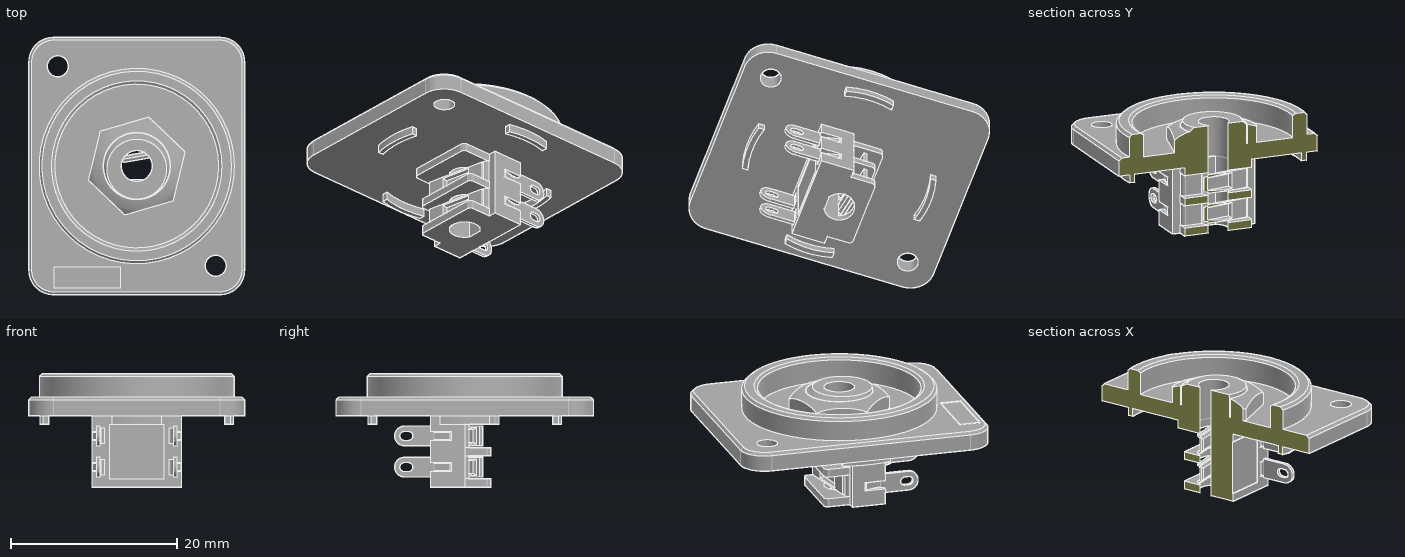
import cadquery as cq
import math

PLATE_X, PLATE_Y, PLATE_T = 26.0, 31.0, 2.3
PLATE_CORNER_R = 3.0
EDGE_CHAMFER = 0.35
SCREW_HOLE_D = 2.5
SCREW_HOLE_X, SCREW_HOLE_Y = 9.5, 12.0

RING_D, RING_H = 23.5, 2.8
DISH_D, DISH_FLOOR_Z = 19.7, 2.1
DISH_CHAMFER_W, DISH_CHAMFER_H = 0.4, 0.25

LABEL_X, LABEL_Y = 8.0, 2.5
LABEL_CENTER = (-5.95, -13.4)
LABEL_DEPTH = 0.1

NUT_FLATS = 10.5
NUT_TURN = 16.3
NUT_CORNER_H, NUT_MIDDLE_H, NUT_TOP_H = 1.43, 2.0, 2.4
NUT_BORE_D = 8.1

BUSHING_D, BUSHING_TIP_D, BUSHING_H = 8.0, 7.2, 2.87
BUSHING_TIP_SHIFT = -0.38
BORE_D = 3.7
BORE_FLAT_Y = -1.6

FOOT_OUTER_R, FOOT_INNER_R = 11.68, 11.0
FOOT_W, FOOT_H = 6.0, 1.0

BODY_X, BODY_FRONT_Y, BODY_H = 10.8, -4.15, 8.6
CORE_REAR_Y = 0.5
CORE_CORNER_R, FLANGE_CORNER_R = 0.45, 0.5
FLANGE_X = 8.8
CORE_INSET = 0.05
CORE_X = FLANGE_X - 2 * CORE_INSET
TOP_FLANGE_REAR_Y, LOWER_FLANGE_REAR_Y = 4.15, 3.15
FLANGES = [
    (-FOOT_H, 0.0, TOP_FLANGE_REAR_Y),
    (-4.8, -3.8, LOWER_FLANGE_REAR_Y),
    (-BODY_H, -7.55, LOWER_FLANGE_REAR_Y),
]

PANEL_X, PANEL_DEPTH = 6.5, 0.1
PANEL_TOP_Z, PANEL_BOTTOM_Z = -1.0, -7.6

CONTACT_Z = (-2.4, -6.15)

TERMINAL_OUTER_X, TERMINAL_T = 4.85, 0.4
TERMINAL_W, TERMINAL_TIP_Y = 2.4, -8.45
EYE_L, EYE_W, EYE_Y = 1.55, 1.05, -7.03
NOTCH_W, NOTCH_INNER_Y = 1.05, -1.6
BARB_W, BARB_START_Y, BARB_END_Y, BARB_TIP_X = 0.85, -3.7, -1.8, 5.3
SLOT_INNER_X, SLOT_H, SLOT_DEPTH = 3.9, 1.85, 1.0
LEFT_SLOT_W = 0.4
RIGHT_SLOT_W = TERMINAL_OUTER_X - TERMINAL_T - SLOT_INNER_X

SPRING_L, SPRING_T, SPRING_W = 8.0, 0.4, 2.4
SPRING_MID_Y, SPRING_TILT = 1.3, 10.0
DIMPLE_L, DIMPLE_W, DIMPLE_DEPTH, DIMPLE_TAPER = 3.8, 2.0, 0.4, 30.0


def box(x0, x1, y0, y1, z0, z1):
    """Axis-aligned box between two corners."""
    return cq.Workplane("XY").box(x1 - x0, y1 - y0, z1 - z0, centered=False).translate((x0, y0, z0))


def disc(diameter, z0, z1):
    """Cylinder about the Z axis."""
    return cq.Workplane("XY").workplane(offset=z0).circle(diameter / 2).extrude(z1 - z0)


def make_plate():
    """Rounded plate with its rim, dish, screw holes and label recess."""
    plate = cq.Workplane("XY").rect(PLATE_X, PLATE_Y).extrude(PLATE_T)
    plate = plate.edges("|Z").fillet(PLATE_CORNER_R).faces(">Z").chamfer(EDGE_CHAMFER)
    rim_top = PLATE_T + RING_H
    rim = disc(RING_D, DISH_FLOOR_Z, rim_top).faces(">Z").chamfer(EDGE_CHAMFER)
    dish = disc(DISH_D, DISH_FLOOR_Z, rim_top)
    mouth = (
        cq.Workplane("XY").workplane(offset=rim_top).circle(DISH_D / 2 + DISH_CHAMFER_W)
        .workplane(offset=-DISH_CHAMFER_H).circle(DISH_D / 2).loft()
    )
    plate = plate.union(rim).cut(dish).cut(mouth)
    holes = (
        cq.Workplane("XY")
        .pushPoints([(-SCREW_HOLE_X, SCREW_HOLE_Y), (SCREW_HOLE_X, -SCREW_HOLE_Y)])
        .circle(SCREW_HOLE_D / 2).extrude(PLATE_T)
    )
    label = (
        cq.Workplane("XY").workplane(offset=PLATE_T - LABEL_DEPTH)
        .center(*LABEL_CENTER).rect(LABEL_X, LABEL_Y).extrude(LABEL_DEPTH)
    )
    return plate.cut(holes).cut(label)


def make_nut():
    """Hexagon nut with a domed top, standing on the dish floor."""
    corner_r = NUT_FLATS / 2 / math.cos(math.radians(30))
    bore_r = NUT_BORE_D / 2
    hexagon = (
        cq.Workplane("XY").polygon(6, 2 * corner_r).extrude(NUT_TOP_H)
        .rotate((0, 0, 0), (0, 0, 1), NUT_TURN)
    )
    dome = (
        cq.Workplane("XZ").moveTo(bore_r, 0).lineTo(corner_r, 0).lineTo(corner_r, NUT_CORNER_H)
        .threePointArc((NUT_FLATS / 2, NUT_MIDDLE_H), (bore_r, NUT_TOP_H))
        .close().revolve(360, (0, 0, 0), (0, 1, 0))
    )
    return hexagon.intersect(dome).translate((0, 0, DISH_FLOOR_Z))


def make_bushing():
    """Round bushing inside the nut, with a lopsided conical lead-in."""
    shoulder_z = DISH_FLOOR_Z + NUT_TOP_H
    shaft = disc(BUSHING_D, DISH_FLOOR_Z, shoulder_z)
    tip = (
        cq.Workplane("XY").workplane(offset=shoulder_z).circle(BUSHING_D / 2)
        .workplane(offset=BUSHING_H - NUT_TOP_H).center(0, BUSHING_TIP_SHIFT)
        .circle(BUSHING_TIP_D / 2).loft()
    )
    return shaft.union(tip)


def make_feet():
    """Four short arcs of a ring under the plate, one on each side."""
    ring = disc(2 * FOOT_OUTER_R, -FOOT_H, 0).cut(disc(2 * FOOT_INNER_R, -FOOT_H, 0))
    half_w = FOOT_W / 2
    cross = box(-FOOT_OUTER_R, FOOT_OUTER_R, -half_w, half_w, -FOOT_H, 0)
    cross = cross.union(box(-half_w, half_w, -FOOT_OUTER_R, FOOT_OUTER_R, -FOOT_H, 0))
    return ring.intersect(cross)


def make_body():
    """Jack body: front block, rounded core and three rear flanges."""
    half_x = BODY_X / 2
    body = box(-half_x, half_x, BODY_FRONT_Y, 0, -BODY_H, 0)
    core = box(-CORE_X / 2, CORE_X / 2, BODY_FRONT_Y, CORE_REAR_Y, -BODY_H, 0)
    body = body.union(core.edges("|Z and >Y").fillet(CORE_CORNER_R))
    for bottom_z, top_z, rear_y in FLANGES:
        flange = box(-FLANGE_X / 2, FLANGE_X / 2, 0, rear_y, bottom_z, top_z)
        body = body.union(flange.edges("|Z and >Y").fillet(FLANGE_CORNER_R))
    panel = box(
        -PANEL_X / 2, PANEL_X / 2, BODY_FRONT_Y, BODY_FRONT_Y + PANEL_DEPTH, PANEL_BOTTOM_Z, PANEL_TOP_Z
    )
    return body.cut(panel)


def make_bore():
    """Plug bore: round through the plate, flat-fronted inside the body."""
    half_d = BORE_D / 2
    lower = disc(BORE_D, -BODY_H, 0).intersect(box(-half_d, half_d, BORE_FLAT_Y, half_d, -BODY_H, 0))
    return disc(BORE_D, 0, DISH_FLOOR_Z + BUSHING_H).union(lower)


def make_notch(z):
    """Notch in the -X side, open to the front, for the barb of a terminal at height z."""
    half_w = NOTCH_W / 2
    return box(-BODY_X / 2, -TERMINAL_OUTER_X, BODY_FRONT_Y, NOTCH_INNER_Y, z - half_w, z + half_w)


def make_slot(x0, x1, z):
    """Upright slot in the front face between x0 and x1."""
    half_h = SLOT_H / 2
    return box(x0, x1, BODY_FRONT_Y, BODY_FRONT_Y + SLOT_DEPTH, z - half_h, z + half_h)


def make_bend(z):
    """Hollow bend in the right slot, rising towards the front to meet the terminal."""
    outer_x = SLOT_INNER_X + RIGHT_SLOT_W
    bend_y = BODY_FRONT_Y + RIGHT_SLOT_W
    floor_y = BODY_FRONT_Y + SLOT_DEPTH
    middle = RIGHT_SLOT_W * math.cos(math.radians(45))
    return (
        cq.Workplane("XY").workplane(offset=z - SLOT_H / 2)
        .moveTo(SLOT_INNER_X, floor_y).lineTo(SLOT_INNER_X, bend_y)
        .threePointArc((SLOT_INNER_X + middle, BODY_FRONT_Y + middle), (outer_x, BODY_FRONT_Y))
        .lineTo(outer_x, floor_y).close().extrude(SLOT_H)
    )


def make_terminal(z):
    """Solder tag on the -X side with a slotted eye and a barb in its notch."""
    end_r = TERMINAL_W / 2
    round_y = TERMINAL_TIP_Y + end_r
    tag = (
        cq.Workplane("YZ").moveTo(BARB_START_Y, -end_r).lineTo(round_y, -end_r)
        .threePointArc((TERMINAL_TIP_Y, 0), (round_y, end_r)).lineTo(BARB_START_Y, end_r).close()
        .extrude(TERMINAL_T)
    )
    eye = cq.Workplane("YZ").center(EYE_Y, 0).slot2D(EYE_L, EYE_W).extrude(TERMINAL_T)
    barb = (
        cq.Workplane("XY").workplane(offset=-BARB_W / 2)
        .moveTo(-TERMINAL_OUTER_X, BARB_START_Y).lineTo(-BARB_TIP_X, BARB_END_Y)
        .lineTo(-TERMINAL_OUTER_X, BARB_END_Y).close().extrude(BARB_W)
    )
    return tag.cut(eye).translate((-TERMINAL_OUTER_X, 0, 0)).union(barb).translate((0, 0, z))


def make_spring(z):
    """Leaf spring crossing the bore, with a dimple pressed towards -Y."""
    leaf = cq.Workplane("XY").box(SPRING_L, SPRING_T, SPRING_W)
    dimple = (
        cq.Workplane("XZ").rect(DIMPLE_L, DIMPLE_W).extrude(DIMPLE_DEPTH, taper=DIMPLE_TAPER)
    )
    leaf = leaf.union(dimple.translate((0, -SPRING_T / 2, 0)))
    leaf = leaf.cut(dimple.translate((0, SPRING_T / 2, 0)))
    return leaf.rotate((0, 0, 0), (0, 0, 1), SPRING_TILT).translate((0, SPRING_MID_Y, z))


result = make_plate().union(make_nut()).union(make_bushing()).union(make_feet()).union(make_body())
result = result.cut(make_bore())
for contact_z in CONTACT_Z:
    notch = make_notch(contact_z)
    left_slot = make_slot(-SLOT_INNER_X - LEFT_SLOT_W, -SLOT_INNER_X, contact_z)
    right_slot = make_slot(SLOT_INNER_X, SLOT_INNER_X + RIGHT_SLOT_W, contact_z)
    terminal = make_terminal(contact_z)
    result = result.cut(notch).cut(notch.mirror("YZ")).cut(left_slot).cut(right_slot)
    result = result.union(terminal).union(terminal.mirror("YZ"))
    result = result.union(make_bend(contact_z)).union(make_spring(contact_z))